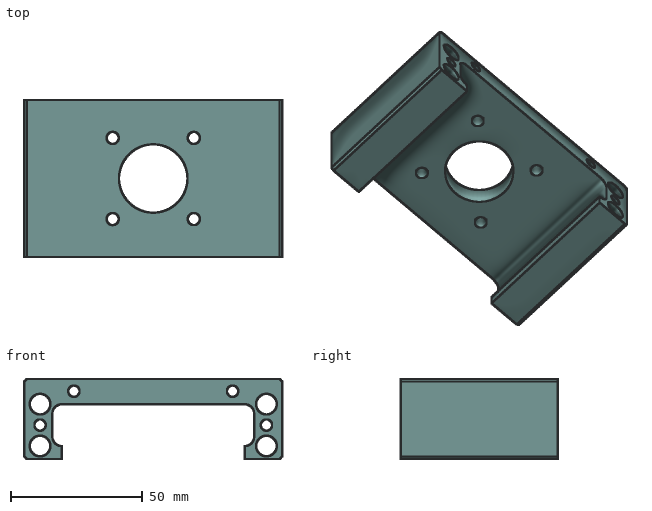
import cadquery as cq

length = 98.6
depth = 60.0
height = 30.7
edge_chamfer = 1.1

plate_thickness = 9.8
wall_thickness = 10.8
foot_height = 5.0
channel_fillet = 3.55
channel_width = length - 2 * wall_thickness
mouth_width = channel_width - 2 * channel_fillet

pilot_diameter = 26.0
mount_diameter = 4.5
mount_spacing = 31.0

wall_hole_spacing_x = 86.4
bore_diameter = 7.8
bore_spacing_z = 16.0
wall_hole_center_z = 13.0
tapped_diameter = 4.2
plate_hole_spacing_x = 60.5
plate_hole_drop = 4.7
plate_hole_z = height - plate_hole_drop


def make_block():
    block = cq.Workplane("XY").box(length, depth, height, centered=(True, True, False))
    return block.edges("|Y").chamfer(edge_chamfer)


def make_channel():
    cavity_height = height - plate_thickness - foot_height
    cavity = (
        cq.Workplane("XY")
        .workplane(offset=foot_height)
        .box(channel_width, depth, cavity_height, centered=(True, True, False))
        .edges("|Y")
        .fillet(channel_fillet)
    )
    mouth_height = foot_height + channel_fillet
    mouth = cq.Workplane("XY").box(mouth_width, depth, mouth_height, centered=(True, True, False))
    return cavity.union(mouth)


def holes_along_y(centers, diameter):
    """Cylinders spanning the full depth at the given (x, z) centres."""
    return (
        cq.Workplane("XZ")
        .pushPoints(centers)
        .circle(diameter / 2)
        .extrude(depth / 2, both=True)
    )


def make_motor_holes():
    pilot = cq.Workplane("XY").circle(pilot_diameter / 2).extrude(height)
    mounts = (
        cq.Workplane("XY")
        .rect(mount_spacing, mount_spacing, forConstruction=True)
        .vertices()
        .circle(mount_diameter / 2)
        .extrude(height)
    )
    return pilot.union(mounts)


bore_centers = []
tapped_centers = []
for side in (-1, 1):
    wall_x = side * wall_hole_spacing_x / 2
    for level in (-1, 1):
        bore_centers.append((wall_x, wall_hole_center_z + level * bore_spacing_z / 2))
    tapped_centers.append((wall_x, wall_hole_center_z))
    tapped_centers.append((side * plate_hole_spacing_x / 2, plate_hole_z))

result = (
    make_block()
    .cut(make_channel())
    .cut(make_motor_holes())
    .cut(holes_along_y(bore_centers, bore_diameter))
    .cut(holes_along_y(tapped_centers, tapped_diameter))
)